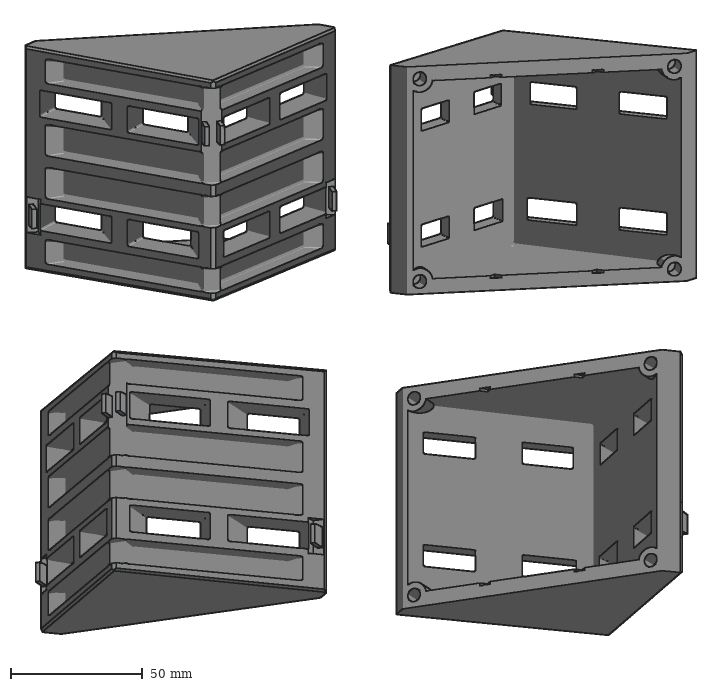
import cadquery as cq
import math


overall_span = 90.0
leg = 86.1
height = 88.0
half_height = height / 2
corner_height = 87.0
end_flat = 8.55
tip_fillet = 2.0
corner_chamfer = 1.35
rim_chamfer = 0.9
slant_offset = (leg + end_flat) / math.sqrt(2)
slant_length = (leg - end_flat) * math.sqrt(2)

wall = 10.2
rail_outer = 5.8
rail_inner = 6.7
cavity_fillet = 1.35

boss_radius = 5.1
boss_inset = 4.9
screw_diameter = 5.2
screw_depth = 9.0

notch_spacing = 39.95
notch_length = 4.5
notch_height = 1.0

slot_level = 22.4
slot_mouth_height = 10.6
slot_inner_height = 8.6
slot_fillet = 0.7
near_mouth = (6.8, 39.05)
far_mouth = (46.2, 78.7)
slot_taper = 0.45
near_slot_upper_slope = 11.4
near_slot_lower_slope = 10.2
far_slot_slope = 11.25

pocket_near = 4.95
pocket_far = 76.2
pocket_depth = 5.2
pocket_taper = 0.6
pocket_fillet = 1.1
middle_pocket = (2.25, 14.7)
outer_pocket = (30.8, 40.5)

corner_cut = 5.6
ridge_fillet = 0.5
ridge_tolerance = 0.1
recess_near = 78.3
recess_far = 84.6
recess_height = 14.0

tab_thickness = 1.8
tab_root_height = 8.3
tab_tip_height = 7.6
tab_overhang = overall_span - leg
corner_tab_offset = 3.0
tip_tab_offset = 58.2
tab_embed = 0.45


def slant_plane(offset):
    """Plane parallel to the slanted side, its normal pointing towards the square corner."""
    shift = offset / math.sqrt(2)
    return cq.Plane(origin=(-shift, shift, 0), xDir=(1, 1, 0), normal=(1, -1, 0))


def both_legs(shape):
    """Add the copy of a shape that belongs to the other leg."""
    return shape.union(shape.mirror((1, 1, 0), (0, 0, 0)))


def face_frustum(mouth, mouth_heights, floor, floor_heights, depth):
    """Tapered block going into the y = 0 face; mouth and floor are distances from the corner."""
    return (
        cq.Workplane("XZ")
        .center(-sum(mouth) / 2, sum(mouth_heights) / 2)
        .rect(mouth[1] - mouth[0], mouth_heights[1] - mouth_heights[0])
        .workplane(offset=-depth)
        .center((sum(mouth) - sum(floor)) / 2, (sum(floor_heights) - sum(mouth_heights)) / 2)
        .rect(floor[1] - floor[0], floor_heights[1] - floor_heights[0])
        .loft(ruled=True)
    )


def slant_wedge(outer_height, inner_height, depth):
    """Wide block from the slanted side inward, its top and bottom drawing together."""
    return (
        cq.Workplane(slant_plane(slant_offset))
        .rect(2 * slant_length, outer_height)
        .workplane(offset=depth)
        .rect(2 * slant_length, inner_height)
        .loft(ruled=True)
    )


def make_body():
    outline = [(0, 0), (-leg, 0), (-leg, end_flat), (-end_flat, leg), (0, leg)]
    body = cq.Workplane("XY").polyline(outline).close().extrude(half_height, both=True)
    body = body.intersect(slant_wedge(height, corner_height, slant_offset))
    body = body.faces("<Y or >X").edges("not |Z").chamfer(rim_chamfer)
    for x, y in [(0, 0), (-leg, 0), (0, leg)]:
        body = body.edges(cq.NearestToPointSelector((x, y, 0))).chamfer(corner_chamfer)
    for x, y in [(-leg, end_flat), (-end_flat, leg)]:
        body = body.edges(cq.NearestToPointSelector((x, y, 0))).fillet(tip_fillet)
    return body


def make_cavity():
    prism = (
        cq.Workplane("XY")
        .polyline([(-wall, wall), (wall - leg - end_flat, wall), (-wall, leg + end_flat - wall)])
        .close()
        .extrude(half_height, both=True)
    )
    depth = slant_offset - wall * math.sqrt(2)
    cavity = prism.intersect(slant_wedge(height - 2 * rail_outer, height - 2 * rail_inner, depth))
    cavity = cavity.faces("<Y or >X").edges().filter(is_inside_edge).fillet(cavity_fillet)
    return cavity.cut(boss_columns(boss_radius, slant_offset))


def is_inside_edge(edge):
    """True for an edge that does not lie on the slanted side."""
    middle = edge.Center()
    return middle.y - middle.x < leg + end_flat - cavity_fillet


def boss_columns(radius, depth):
    """Four cylinders going in squarely from the slanted side."""
    return (
        cq.Workplane(slant_plane(slant_offset))
        .rect(slant_length - 2 * boss_inset, height - 2 * boss_inset, forConstruction=True)
        .vertices()
        .circle(radius)
        .extrude(depth)
    )


def make_rail_notches():
    """Upright grooves with sides along X and Y, reaching slightly into the rails."""
    reach = half_height - rail_outer + notch_height
    half_length = notch_length / 2
    notches = cq.Workplane("XY")
    for middle in [-notch_spacing / 2, notch_spacing / 2]:
        groove = (
            cq.Workplane(slant_plane(slant_offset))
            .transformed(rotate=(90, 0, 0), offset=(middle, 0, 0))
            .polyline([(-half_length, 0), (half_length, 0), (0, half_length)])
            .close()
            .extrude(reach, both=True)
        )
        notches = notches.union(groove)
    return notches


def make_slots():
    slots = cq.Workplane("XY")
    for level, near_slope in [(slot_level, near_slot_upper_slope), (-slot_level, near_slot_lower_slope)]:
        for mouth, slope in [(near_mouth, near_slope), (far_mouth, far_slot_slope)]:
            floor = (mouth[0] + slope, mouth[1] - slot_taper)
            mouth_heights = (level - slot_mouth_height / 2, level + slot_mouth_height / 2)
            floor_heights = (level - slot_inner_height / 2, level + slot_inner_height / 2)
            slot = face_frustum(mouth, mouth_heights, floor, floor_heights, wall)
            slots = slots.union(slot.edges("not #Y").fillet(slot_fillet))
    return slots


def make_pockets():
    pockets = cq.Workplane("XY")
    floor = (pocket_near + pocket_depth, pocket_far - pocket_depth)
    for bottom, top in [middle_pocket, outer_pocket]:
        floor_heights = (bottom + pocket_taper, top - pocket_taper)
        pocket = face_frustum((pocket_near, pocket_far), (bottom, top), floor, floor_heights, pocket_depth)
        pocket = pocket.edges("not <Y").fillet(pocket_fillet)
        pockets = pockets.union(pocket).union(pocket.mirror("XY"))
    return pockets


def make_corner_cuts():
    """Flat across the square corner beside the pockets and behind the upper corner tabs."""
    cuts = cq.Workplane("XY")
    spans = [
        (middle_pocket[0], outer_pocket[1]),
        (-middle_pocket[1], -middle_pocket[0]),
        (-outer_pocket[1], -outer_pocket[0]),
    ]
    for bottom, top in spans:
        cut = (
            cq.Workplane(slant_plane(corner_cut / math.sqrt(2)))
            .center(0, (bottom + top) / 2)
            .rect(3 * corner_cut, top - bottom)
            .extrude(corner_cut)
            .edges("#Z and (<(1,-1,0))")
            .fillet(pocket_fillet)
        )
        cuts = cuts.union(cut)
    return cuts


def make_tip_recess():
    """V groove with 45 degree sides, across the lower window level."""
    half_width = (recess_far - recess_near) / 2
    return (
        cq.Workplane("XY", origin=(0, 0, -slot_level))
        .polyline([(-recess_near, 0), (-recess_far, 0), (-recess_near - half_width, half_width)])
        .close()
        .extrude(recess_height / 2, both=True)
    )


def make_tab(middle_offset, root_offset, level):
    """Tab from a root plane, ending where its outer corner reaches the overhang."""
    lower_edge = middle_offset - tab_thickness / 2
    tip_offset = -2 * tab_overhang / math.sqrt(2) - lower_edge
    root = root_offset + tab_embed
    return (
        cq.Workplane(slant_plane(root))
        .center(middle_offset, level)
        .rect(tab_thickness, tab_root_height)
        .workplane(offset=root - tip_offset)
        .rect(tab_thickness, tab_tip_height)
        .loft(ruled=True)
    )


def is_pocket_ridge(edge):
    """True for the upright edges between the corner cut and the ends of the pockets."""
    along = (pocket_near + corner_cut) / 2
    depth = (corner_cut - pocket_near) / 2
    middle = edge.Center()
    gaps = [
        math.hypot(middle.x + along, middle.y - depth),
        math.hypot(middle.x + depth, middle.y - along),
    ]
    return min(gaps) < ridge_tolerance and edge.Length() > corner_cut


leg_openings = make_slots().union(make_tip_recess())
corner_tab = make_tab(-corner_tab_offset, corner_cut / math.sqrt(2), slot_level)
tip_tab = make_tab(-tip_tab_offset, recess_far / math.sqrt(2), -slot_level)

shell = make_body().cut(both_legs(make_pockets())).cut(make_corner_cuts())
shell = shell.edges().filter(is_pocket_ridge).fillet(ridge_fillet)

result = (
    shell.cut(make_cavity())
    .cut(boss_columns(screw_diameter / 2, screw_depth))
    .cut(make_rail_notches())
    .cut(both_legs(leg_openings))
    .union(both_legs(corner_tab.union(tip_tab)))
)